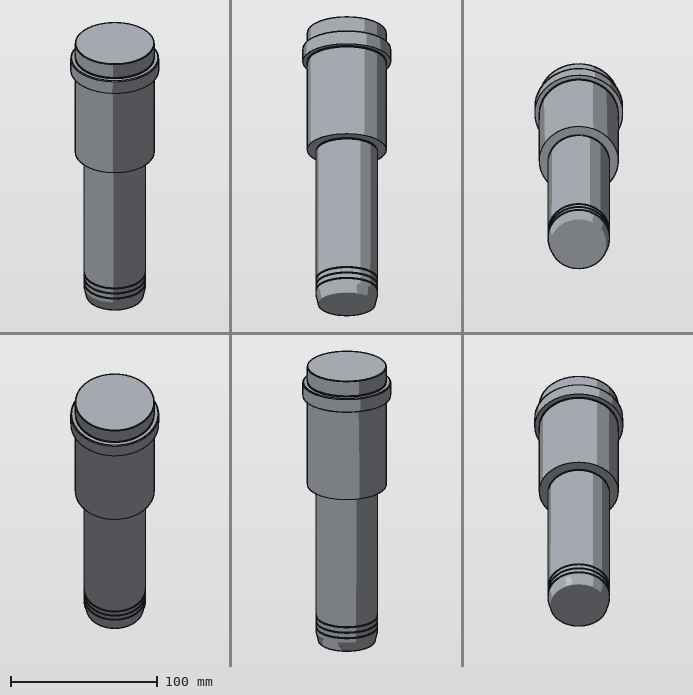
import cadquery as cq

flange_diameter = 60.0
body_diameter = 54.0
shank_diameter = 42.0
tip_diameter = 38.8

total_height = 203.0
flange_top = 191.2
flange_thickness = 10.0
flange_bottom = flange_top - flange_thickness
body_bottom = 115.5
taper_height = 7.1

flange_chamfer = 0.6
top_chamfer = 0.5
tip_fillet = 0.6
relief_width = 1.0
relief_depth = 0.6
ring_groove_width = 0.8
ring_groove_count = 3
ring_groove_pitch = 4.0
lowest_groove_bottom = 10.2


def cylinder(diameter, bottom, top):
    return cq.Workplane("XY").workplane(offset=bottom).circle(diameter / 2).extrude(top - bottom)


def groove(diameter, bottom, width, depth):
    """Ring that cuts a square groove into a cylinder of the given diameter."""
    outer = cylinder(diameter, bottom, bottom + width)
    return outer.cut(cylinder(diameter - 2 * depth, bottom, bottom + width))


def vee_groove(diameter, bottom, width):
    """Ring that cuts a 90 degree V groove into a cylinder of the given diameter."""
    radius = diameter / 2
    half_width = width / 2
    middle = bottom + half_width
    section = cq.Workplane("XZ").polyline([
        (radius, bottom),
        (radius - half_width, middle),
        (radius, bottom + width),
        (radius + half_width, middle),
    ]).close()
    return section.revolve(360, (0, 0), (0, 1))


tip = (
    cq.Workplane("XY")
    .circle(tip_diameter / 2)
    .workplane(offset=taper_height)
    .circle(shank_diameter / 2)
    .loft(ruled=True)
    .faces("<Z")
    .edges()
    .fillet(tip_fillet)
)

shank = cylinder(shank_diameter, taper_height, body_bottom)
shank = shank.cut(groove(shank_diameter, body_bottom - relief_width, relief_width, relief_depth))
for index in range(ring_groove_count):
    groove_bottom = lowest_groove_bottom + index * ring_groove_pitch
    shank = shank.cut(vee_groove(shank_diameter, groove_bottom, ring_groove_width))

body = cylinder(body_diameter, body_bottom, total_height).faces(">Z").edges().chamfer(top_chamfer)
for relief_bottom in (flange_bottom - relief_width, flange_top):
    body = body.cut(vee_groove(body_diameter, relief_bottom, relief_width))

flange = cylinder(flange_diameter, flange_bottom, flange_top).faces(">Z").edges().chamfer(flange_chamfer)

result = tip.union(shank).union(body).union(flange)